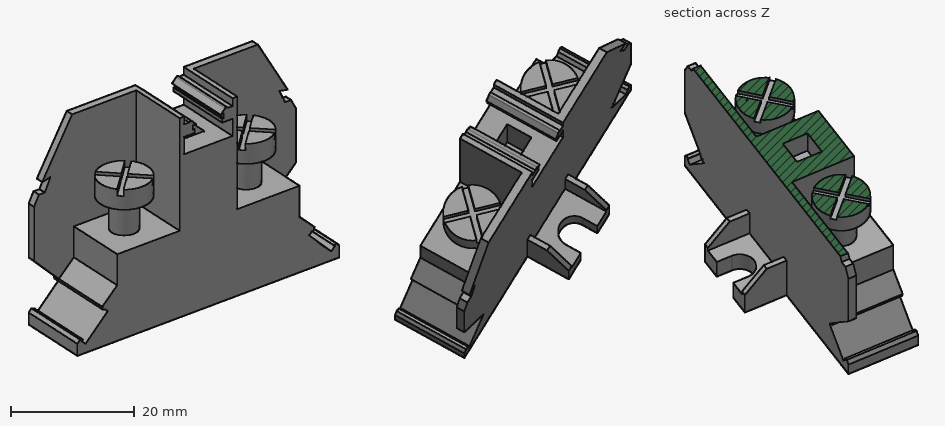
import cadquery as cq

length = 53.3
height = 37.0
depth = 13.0
plate_thickness = 1.45
half_length = length / 2

foot_height = 2.25
foot_tip_y, foot_tip_z = 26.1, 2.85
barb_y, barb_z = 25.5, 2.65
barb_root_y = 25.75
valley_y, valley_z = 25.0, 1.7
groove_y, groove_z = 20.5, 6.2
lip_y, lip_z = 21.6, 7.4
lip_bottom_y, lip_bottom_z = 21.4, 6.75

plate_low_z = lip_z + half_length - lip_y
shoulder_z = 22.5
shoulder_top_y, shoulder_top_z = 25.65, 24.4
notch_floor_y = 24.45
notch_inner_y, notch_inner_z = 23.3, 26.85
notch_tip_y, notch_tip_z = 25.0, 26.5
plate_top_y = 18.9

ledge_y = 18.55
ledge_bottom_z = 10.35
ledge_z = 16.1
slot_half_width = 4.9
wall_thickness = 0.95
slot_floor_z = 30.0

hook_top_z = 35.55
hook_bottom_z = 33.2
hook_toe_y = 2.8
hook_nose_y, hook_nose_z = 2.5, 34.75
hook_recess_y = 3.15
hook_recess_bottom_z = 33.9
bead_start_y = 3.95
bead_crest_y, bead_crest_z = 3.7, 35.75
bead_end_y = 3.4

hole_size = 4.55
hole_x = 6.65
hole_bottom_z = 21.3

screw_x = 6.8
screw_y = 12.4
shank_diameter = 5.0
head_diameter = 9.55
head_bottom_z = 22.15
head_height = 3.75
drive_width = 1.05
drive_depth = 1.2

lug_reach = 7.75
lug_half_width = 6.5
lug_thickness = 3.5
rib_thickness = 0.95
rib_height = 8.2
rib_flat = 3.7
rib_tip_z = rib_height - (lug_reach - rib_flat)
lug_slot_radius = 2.65
lug_slot_x = -5.0


def line_through(outline, points):
    for y, z in points:
        outline = outline.lineTo(y, z)
    return outline


def symmetric_profile(flank, thickness):
    """Extrude one half outline along X and join it to its mirror image.

    The snap foot and slot hook are shared; flank holds the points between them.
    """
    foot = [
        (half_length, 0),
        (half_length, foot_height),
        (foot_tip_y, foot_tip_z),
        (barb_y, barb_z),
        (barb_root_y, valley_z + barb_root_y - valley_y),
        (valley_y, valley_z),
        (groove_y, groove_z),
        (groove_y + lip_bottom_z - groove_z, lip_bottom_z),
        (lip_bottom_y, lip_bottom_z),
        (lip_y, lip_z),
    ]
    slot_mouth = [
        (slot_half_width, height),
        (slot_half_width, hook_top_z),
        (bead_start_y, hook_top_z),
    ]
    slot_inside = [
        (hook_nose_y, hook_nose_z),
        (hook_recess_y, hook_nose_z),
        (hook_recess_y, hook_recess_bottom_z),
        (hook_toe_y, hook_recess_bottom_z),
        (hook_toe_y, hook_bottom_z),
        (slot_half_width, hook_bottom_z),
        (slot_half_width, slot_floor_z),
        (0, slot_floor_z),
    ]
    bead_end_z = hook_nose_z + bead_end_y - hook_nose_y
    outline = cq.Workplane("YZ").moveTo(0, 0)
    outline = line_through(outline, foot + flank + slot_mouth)
    outline = outline.threePointArc((bead_crest_y, bead_crest_z), (bead_end_y, bead_end_z))
    outline = line_through(outline, slot_inside)
    half = outline.close().extrude(thickness)
    return half.union(half.mirror("XZ"))


def end_plate():
    flank = [
        (half_length, plate_low_z),
        (half_length, shoulder_z),
        (shoulder_top_y, shoulder_top_z),
        (notch_floor_y, shoulder_top_z),
        (notch_inner_y, notch_inner_z),
        (notch_tip_y, notch_tip_z),
        (plate_top_y, height),
    ]
    return symmetric_profile(flank, plate_thickness)


def body():
    wall_y = slot_half_width + wall_thickness
    flank = [
        (ledge_y, ledge_bottom_z),
        (ledge_y, ledge_z),
        (wall_y, ledge_z),
        (wall_y, height),
    ]
    return symmetric_profile(flank, depth)


def square_hole():
    hole_depth = slot_floor_z - hole_bottom_z
    return (
        cq.Workplane("XY", origin=(hole_x, 0, hole_bottom_z))
        .rect(hole_size, hole_size)
        .extrude(hole_depth)
    )


def screw(y):
    """Cheese-head screw with a cross drive, its shank standing on the ledge."""
    shank = (
        cq.Workplane("XY", origin=(screw_x, y, ledge_z))
        .circle(shank_diameter / 2)
        .extrude(head_bottom_z - ledge_z)
    )
    head = (
        cq.Workplane("XY", origin=(screw_x, y, head_bottom_z))
        .circle(head_diameter / 2)
        .extrude(head_height)
    )
    drive_floor_z = head_bottom_z + head_height - drive_depth
    for angle in (45, -45):
        drive = (
            cq.Workplane("XY", origin=(screw_x, y, drive_floor_z))
            .transformed(rotate=(0, 0, angle))
            .rect(2 * head_diameter, drive_width)
            .extrude(drive_depth)
        )
        head = head.cut(drive)
    return shank.union(head)


def lug_rib(outer_y):
    """Bevelled side rib reaching from outer_y towards -Y."""
    return (
        cq.Workplane("XZ", origin=(0, outer_y, 0))
        .polyline([
            (0, 0),
            (-lug_reach, 0),
            (-lug_reach, rib_tip_z),
            (-rib_flat, rib_height),
            (0, rib_height),
        ])
        .close()
        .extrude(rib_thickness)
    )


def mounting_lug():
    base = cq.Workplane("XY").box(
        lug_reach, 2 * lug_half_width, lug_thickness, centered=(False, True, False)
    ).translate((-lug_reach, 0, 0))
    slot_end = cq.Workplane("XY").center(lug_slot_x, 0).circle(lug_slot_radius).extrude(lug_thickness)
    slot_throat = cq.Workplane("XY").box(
        lug_reach + lug_slot_x, 2 * lug_slot_radius, lug_thickness, centered=(False, True, False)
    ).translate((-lug_reach, 0, 0))
    lug = base.cut(slot_end).cut(slot_throat)
    for outer_y in (lug_half_width, rib_thickness - lug_half_width):
        lug = lug.union(lug_rib(outer_y))
    return lug


result = body().union(end_plate()).union(mounting_lug()).cut(square_hole())
for side in (1, -1):
    result = result.union(screw(side * screw_y))